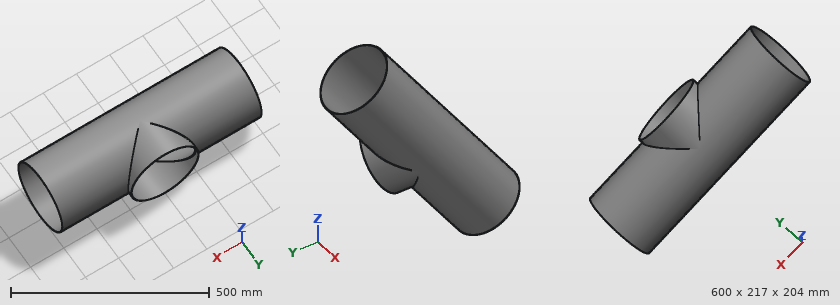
import cadquery as cq

run_length = 600.0
outer_diameter = 204.0
bore_diameter = 200.0
branch_reach = 115.0


def run_cylinder(diameter):
    """Cylinder along X, centred on the origin, over the full run."""
    return cq.Workplane("YZ").circle(diameter / 2).extrude(run_length / 2, both=True)


def branch_cylinder(diameter):
    """Cylinder from the run axis out to the end of the branch."""
    return cq.Workplane("XZ").circle(diameter / 2).extrude(-branch_reach)


body = run_cylinder(outer_diameter).union(branch_cylinder(outer_diameter))
bores = run_cylinder(bore_diameter).union(branch_cylinder(bore_diameter))

result = body.cut(bores)